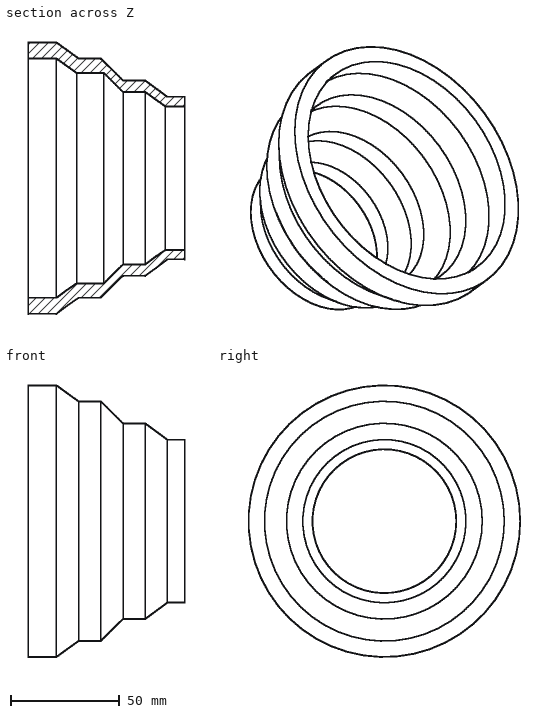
import cadquery as cq

length = 72.0
large_band_length = 13.0
small_band_length = 8.0
outer_diameters = [125, 110.2, 90, 75]
bore_diameters = [110, 96.8, 79.2, 66.0]

steps_between_ends = 2 * len(outer_diameters) - 3
step_length = (length - large_band_length - small_band_length) / steps_between_ends
outer_cones = []
for index in range(len(outer_diameters) - 1):
    cone_start = large_band_length + 2 * index * step_length
    outer_cones.append((cone_start, cone_start + step_length))

end_cone_length = 9.2
middle_cone_length = (bore_diameters[1] - bore_diameters[2]) / 2
first_cone_start = outer_cones[0][0]
middle_cone_end = outer_cones[1][1]
last_cone_start = outer_cones[2][0]
bore_cones = [
    (first_cone_start, first_cone_start + end_cone_length),
    (middle_cone_end - middle_cone_length, middle_cone_end),
    (last_cone_start, last_cone_start + end_cone_length),
]


def stepped_solid(diameters, cones):
    """Revolve bands of the given diameters, joined by cones given as (start, end) along X."""
    radius = diameters[0] / 2
    profile = cq.Workplane("XY").lineTo(0, radius)
    for next_diameter, (cone_start, cone_end) in zip(diameters[1:], cones):
        profile = profile.lineTo(cone_start, radius)
        radius = next_diameter / 2
        profile = profile.lineTo(cone_end, radius)
    profile = profile.lineTo(length, radius).lineTo(length, 0).close()
    return profile.revolve(360, (0, 0, 0), (1, 0, 0))


body = stepped_solid(outer_diameters, outer_cones)
bore = stepped_solid(bore_diameters, bore_cones)
result = body.cut(bore)